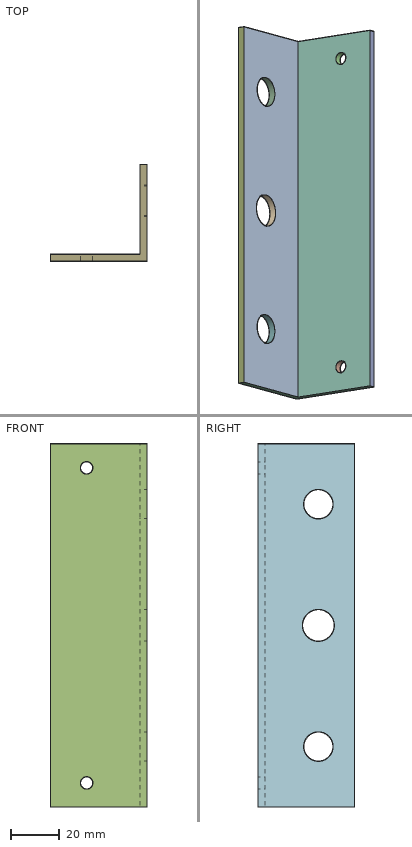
import cadquery as cq

leg_width = 40.0
length = 150.0
thickness = 3.0

hole_edge_distance = 15.0

fixing_hole_diameter = 5.0
fixing_hole_end_distance = 10.0

outer_hole_diameter = 12.0
middle_hole_diameter = 13.0
outer_hole_end_distance = 25.0


def angle_profile():
    """L-section extrusion: front leg along X, side leg along Y at the +X end."""
    inner_x = leg_width - thickness
    outline = [
        (0, 0),
        (leg_width, 0),
        (leg_width, leg_width),
        (inner_x, leg_width),
        (inner_x, thickness),
        (0, thickness),
    ]
    return cq.Workplane("XY").polyline(outline).close().extrude(length)


def front_leg_hole(z):
    """Cutter for a fixing hole through the front leg, running along Y."""
    start = cq.Vector(hole_edge_distance, 0, z)
    axis = cq.Vector(0, 1, 0)
    return cq.Solid.makeCylinder(fixing_hole_diameter / 2, thickness, start, axis)


def side_leg_hole(z, diameter):
    """Cutter for a hole through the side leg, running along X."""
    start = cq.Vector(leg_width - thickness, leg_width - hole_edge_distance, z)
    axis = cq.Vector(1, 0, 0)
    return cq.Solid.makeCylinder(diameter / 2, thickness, start, axis)


result = angle_profile()

for z in (fixing_hole_end_distance, length - fixing_hole_end_distance):
    result = result.cut(cq.Workplane(front_leg_hole(z)))

for z in (outer_hole_end_distance, length - outer_hole_end_distance):
    result = result.cut(cq.Workplane(side_leg_hole(z, outer_hole_diameter)))
result = result.cut(cq.Workplane(side_leg_hole(length / 2, middle_hole_diameter)))